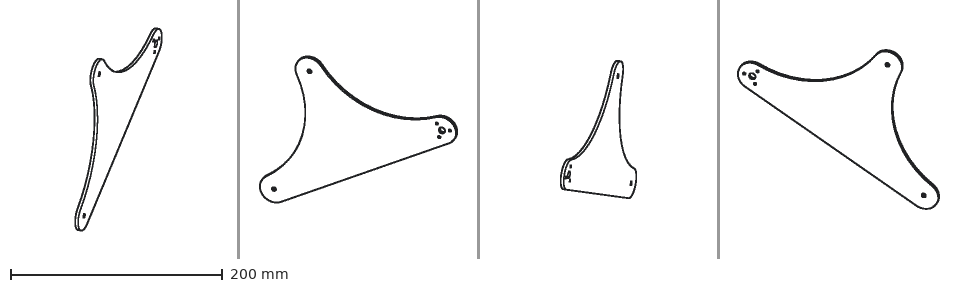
import cadquery as cq
import math

thickness = 3.2
overall_length = 199.6
lobe_radius = 14.4
scallop_radius = 94.0
leg_tilt = 15.0
hub_bore = 6.4
pivot_bore = 4.0
screw_bore = 2.4
screw_circle_radius = 8.2
screw_count = 3
first_screw_angle = 10.0

hypotenuse_tilt = 45.0 - leg_tilt
hypotenuse = (overall_length - 2 * lobe_radius) / math.cos(math.radians(hypotenuse_tilt))
leg = hypotenuse / math.sqrt(2)


def offset(start, distance, angle):
    """Point at a distance and an angle in degrees (from +Y towards +Z) from start."""
    turn = math.radians(angle)
    return (start[0] + distance * math.cos(turn), start[1] + distance * math.sin(turn))


def toward(start, end, distance):
    """Point at a distance from start along the line to end."""
    span = math.dist(start, end)
    return tuple(s + (e - s) * distance / span for s, e in zip(start, end))


upper_leg_angle = 180 - leg_tilt
long_edge_angle = 180 + hypotenuse_tilt
lower_leg_angle = upper_leg_angle + 90
hub = (0.0, 0.0)
apex = offset(hub, leg, upper_leg_angle)
foot = offset(apex, leg, lower_leg_angle)

scallop_setback = math.sqrt((scallop_radius + lobe_radius) ** 2 - (leg / 2) ** 2)


def scallop_center(start, leg_angle):
    return offset(offset(start, leg / 2, leg_angle), scallop_setback, leg_angle - 90)


upper_scallop = scallop_center(hub, upper_leg_angle)
lower_scallop = scallop_center(apex, lower_leg_angle)


def make_plate():
    long_edge_normal = long_edge_angle + 90
    hub_edge = offset(hub, lobe_radius, long_edge_normal)
    hub_outer = offset(hub, lobe_radius, long_edge_angle + 180)
    hub_scallop = toward(hub, upper_scallop, lobe_radius)
    upper_middle = offset(upper_scallop, scallop_radius, upper_leg_angle + 90)
    apex_upper = toward(apex, upper_scallop, lobe_radius)
    apex_outer = offset(apex, lobe_radius, long_edge_normal + 180)
    apex_lower = toward(apex, lower_scallop, lobe_radius)
    lower_middle = offset(lower_scallop, scallop_radius, lower_leg_angle + 90)
    foot_scallop = toward(foot, lower_scallop, lobe_radius)
    foot_outer = offset(foot, lobe_radius, long_edge_angle)
    foot_edge = offset(foot, lobe_radius, long_edge_normal)
    return (
        cq.Workplane("YZ")
        .moveTo(*hub_edge)
        .threePointArc(hub_outer, hub_scallop)
        .threePointArc(upper_middle, apex_upper)
        .threePointArc(apex_outer, apex_lower)
        .threePointArc(lower_middle, foot_scallop)
        .threePointArc(foot_outer, foot_edge)
        .close()
        .extrude(thickness)
    )


def make_bores(centers, diameter):
    return cq.Workplane("YZ").pushPoints(centers).circle(diameter / 2).extrude(thickness)


screw_angles = [first_screw_angle + i * 360 / screw_count for i in range(screw_count)]
screw_centers = [offset(hub, screw_circle_radius, angle) for angle in screw_angles]

result = (
    make_plate()
    .cut(make_bores([hub], hub_bore))
    .cut(make_bores([apex, foot], pivot_bore))
    .cut(make_bores(screw_centers, screw_bore))
)